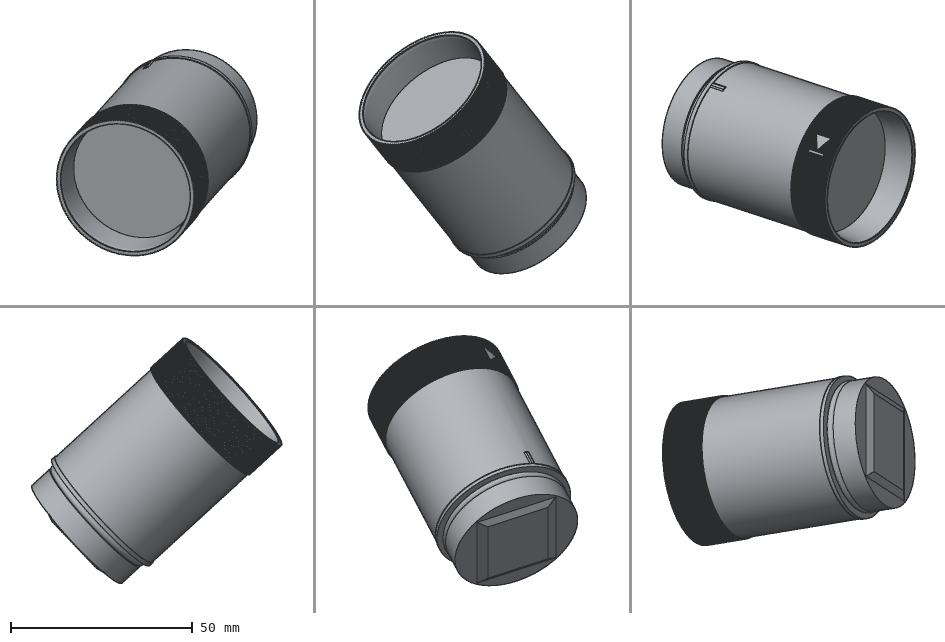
import cadquery as cq
import math

grip_end = 12.05
flange_start = 48.4
flange_end = 49.55
head_start = 51.8
head_end = 58.6
total_length = 59.65

crest_radius = 20.05
body_radius = 19.7
flange_radius = 19.9
head_radius = 18.3
ring_radius = 18.5

cord_radius = (head_start - flange_end) / 2
cord_centre_radius = ring_radius - cord_radius

groove_count = 180
groove_depth = 0.2
groove_width_share = 0.6

mouth_radius = 18.9
mouth_depth = 0.25
lead_in_radius = 18.8
bore_start_radius = 18.6
bore_start = 1.2
bore_floor_radius = 18.15
bore_depth = 9.05

rib_angle = 117.5
rib_base_width = 1.7
rib_top_width = 0.8
rib_length = 4.4
rib_top_radius = 20.0

mark_width = 5.25
arrow_base_angle = 130.0
arrow_tip_angle = 142.8
bar_angle = 144.8
bar_thickness = 0.7
mark_sink = 0.6

boss_base_x = 23.5
boss_base_z = 26.95
boss_top_x = 17.9
boss_top_z = 22.8


def polar(radius, angle):
    """X and Z of a point at an angle measured from +X towards +Z."""
    turn = math.radians(angle)
    return (radius * math.cos(turn), radius * math.sin(turn))


def disc(radius, start, end):
    """Cylinder on the Y axis between two stations."""
    return cq.Workplane("XZ", origin=(0, start, 0)).circle(radius).extrude(start - end)


def turned_body():
    """Barrel, flange, groove with its seal ring, and head, revolved about Y."""
    profile = (
        cq.Workplane("XY")
        .moveTo(0, 0)
        .lineTo(body_radius, 0)
        .lineTo(body_radius, flange_start)
        .lineTo(flange_radius, flange_start)
        .lineTo(flange_radius, flange_end)
        .lineTo(cord_centre_radius, flange_end)
        .threePointArc((ring_radius, flange_end + cord_radius), (cord_centre_radius, head_start))
        .lineTo(head_radius, head_start)
        .lineTo(head_radius, head_end)
        .lineTo(0, head_end)
        .close()
    )
    return profile.revolve(360, (0, 0, 0), (0, 1, 0))


def knurled_grip():
    """Star-shaped prism: crest flats separated by V grooves."""
    pitch = 360 / groove_count
    half_groove = pitch * groove_width_share / 2
    points = []
    for i in range(groove_count):
        middle = i * pitch
        points.append(polar(crest_radius, middle - half_groove))
        points.append(polar(crest_radius - groove_depth, middle))
        points.append(polar(crest_radius, middle + half_groove))
    return cq.Workplane("XZ").polyline(points).close().extrude(-grip_end)


def radial_plane(angle, y):
    """Plane across the axis whose local X runs radially outwards and local Y towards larger angles."""
    x, z = polar(1, angle)
    return cq.Plane(origin=(0, y, 0), xDir=(x, 0, z), normal=(0, -1, 0))


def index_rib():
    """Trapezoidal ridge with its foot sunk below the body surface."""
    half_base = rib_base_width / 2
    half_top = rib_top_width / 2
    foot_radius = body_radius - rib_base_width
    section = (
        cq.Workplane(radial_plane(rib_angle, flange_start))
        .moveTo(foot_radius, -half_base)
        .lineTo(body_radius, -half_base)
        .lineTo(rib_top_radius, -half_top)
        .lineTo(rib_top_radius, half_top)
        .lineTo(body_radius, half_base)
        .lineTo(foot_radius, half_base)
        .close()
    )
    return section.extrude(rib_length)


def tangent_plane(angle):
    """Plane touching the knurl; local X runs along the axis, local Y towards larger angles."""
    x, z = polar(1, angle)
    origin = (crest_radius * x, grip_end / 2, crest_radius * z)
    return cq.Plane(origin=origin, xDir=(0, 1, 0), normal=(x, 0, z))


def grip_marks():
    """Arrow and bar, trimmed to the crest cylinder."""
    half_width = mark_width / 2
    half_sweep = math.radians(arrow_tip_angle - arrow_base_angle) / 2
    half_length = crest_radius * math.sin(half_sweep)
    arrow = (
        cq.Workplane(tangent_plane((arrow_base_angle + arrow_tip_angle) / 2))
        .polyline([(-half_width, -half_length), (half_width, -half_length), (0, half_length)])
        .close()
        .extrude(-mark_sink)
    )
    bar = cq.Workplane(tangent_plane(bar_angle)).rect(mark_width, bar_thickness).extrude(-mark_sink)
    return arrow.union(bar).intersect(disc(crest_radius, 0, grip_end))


def boss():
    """Rectangular frustum tapering to the closed end."""
    return (
        cq.Workplane("XZ", origin=(0, head_end, 0))
        .rect(boss_base_x, boss_base_z)
        .workplane(offset=head_end - total_length)
        .rect(boss_top_x, boss_top_z)
        .loft(ruled=True)
    )


def bore():
    """Cutter for the stepped mouth, lead-in and tapered blind bore."""
    profile = (
        cq.Workplane("XY")
        .lineTo(mouth_radius, 0)
        .lineTo(mouth_radius, mouth_depth)
        .lineTo(lead_in_radius, mouth_depth)
        .lineTo(bore_start_radius, bore_start)
        .lineTo(bore_floor_radius, bore_depth)
        .lineTo(0, bore_depth)
        .close()
    )
    return profile.revolve(360, (0, 0, 0), (0, 1, 0))


outer_shape = turned_body().union(knurled_grip()).union(index_rib()).union(grip_marks()).union(boss())
result = outer_shape.cut(bore())